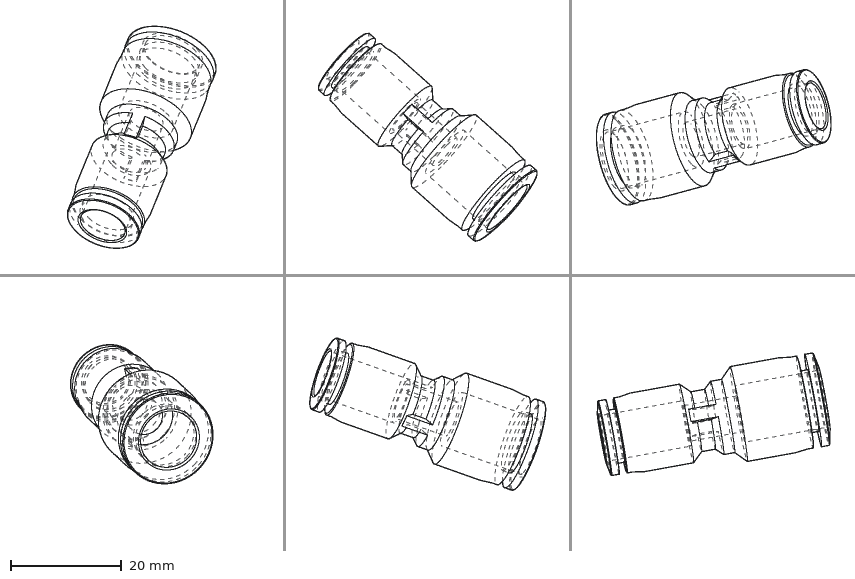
import cadquery as cq

length = 40.95
small_end_y = -length / 2
large_end_y = length / 2

large_body_radius = 17.5 / 2
large_release_radius = 8.5
large_face_radius = 8.3
large_stem_radius = 5.7
large_nose_radius = 8.48
large_nose_bevel = 0.57
large_opening_radius = 5.75
large_guide_radius = 5.3
large_tube_radius = 5.2
large_face_depth = 0.55
large_rim_depth = 0.7
large_release_end = 2.1
large_body_start = 3.5
large_bevel_end = 3.6
large_nose_end = 4.65
large_body_full = 6.92
large_body_end = 15.75
large_outer_steps = [
    (large_opening_radius, 0.0),
    (large_face_radius, large_face_depth),
    (large_release_radius, large_rim_depth),
    (large_release_radius, large_release_end),
    (large_stem_radius, large_release_end),
    (large_stem_radius, large_body_start),
    (large_nose_radius - large_nose_bevel, large_body_start),
    (large_nose_radius, large_bevel_end),
    (large_nose_radius, large_nose_end),
    (large_body_radius, large_body_full),
    (large_body_radius, large_body_end),
]

small_body_radius = 7.25
small_release_radius = 6.9
small_face_radius = 6.7
small_stem_radius = 4.9
small_nose_radius = 6.92
small_nose_bevel = 0.33
small_opening_radius = 4.63
small_guide_radius = 4.25
small_tube_radius = 4.18
small_face_depth = 0.4
small_rim_depth = 0.57
small_release_end = 1.95
small_body_start = 3.28
small_bevel_end = 3.45
small_nose_end = 4.45
small_body_full = 6.43
small_body_end = 15.55
small_outer_steps = [
    (small_opening_radius, 0.0),
    (small_face_radius, small_face_depth),
    (small_release_radius, small_rim_depth),
    (small_release_radius, small_release_end),
    (small_stem_radius, small_release_end),
    (small_stem_radius, small_body_start),
    (small_nose_radius - small_nose_bevel, small_body_start),
    (small_nose_radius, small_bevel_end),
    (small_nose_radius, small_nose_end),
    (small_body_radius, small_body_full),
    (small_body_radius, small_body_end),
]

collar_radius = 6.75
waist_radius = 5.53
waist_start_y = small_end_y + 17.35
waist_end_y = small_end_y + 19.9
collar_start_y = large_end_y - 19.75
collar_end_y = large_end_y - 17.75
waist_steps = [
    (waist_radius, waist_start_y),
    (waist_radius, waist_end_y),
    (collar_radius, collar_start_y),
    (collar_radius, collar_end_y),
]

rib_width = 2.35
rib_start_y = small_end_y + 16.18
rib_end_y = (collar_start_y + collar_end_y) / 2

through_radius = 3.28
mouth_depth = 0.2
guide_depth = 1.23
socket_depth = 15.55


def revolve_about_y(points):
    return cq.Workplane("XY").polyline(points).close().revolve(360, (0, 0, 0), (0, 1, 0))


def make_body():
    small_side = [(radius, small_end_y + inset) for radius, inset in small_outer_steps]
    large_side = [(radius, large_end_y - inset) for radius, inset in reversed(large_outer_steps)]
    axis_start = [(0, small_end_y)]
    axis_end = [(0, large_end_y)]
    return revolve_about_y(axis_start + small_side + waist_steps + large_side + axis_end)


def make_ribs():
    rib_length = rib_end_y - rib_start_y
    rib_middle_y = (rib_start_y + rib_end_y) / 2
    bar = cq.Workplane("XY").box(rib_width, rib_length, 2 * collar_radius)
    bar = bar.translate((0, rib_middle_y, 0))
    envelope = revolve_about_y([
        (0, rib_start_y),
        (collar_radius, rib_start_y),
        (collar_radius, rib_end_y),
        (0, rib_end_y),
    ])
    return bar.intersect(envelope)


def make_bore():
    small_floor_y = small_end_y + socket_depth
    large_floor_y = large_end_y - socket_depth
    return revolve_about_y([
        (0, small_end_y),
        (small_opening_radius, small_end_y),
        (small_guide_radius, small_end_y + mouth_depth),
        (small_tube_radius, small_end_y + guide_depth),
        (small_tube_radius, small_floor_y),
        (through_radius, small_floor_y),
        (through_radius, large_floor_y),
        (large_tube_radius, large_floor_y),
        (large_tube_radius, large_end_y - guide_depth),
        (large_guide_radius, large_end_y - mouth_depth),
        (large_opening_radius, large_end_y),
        (0, large_end_y),
    ])


result = make_body().union(make_ribs()).cut(make_bore())